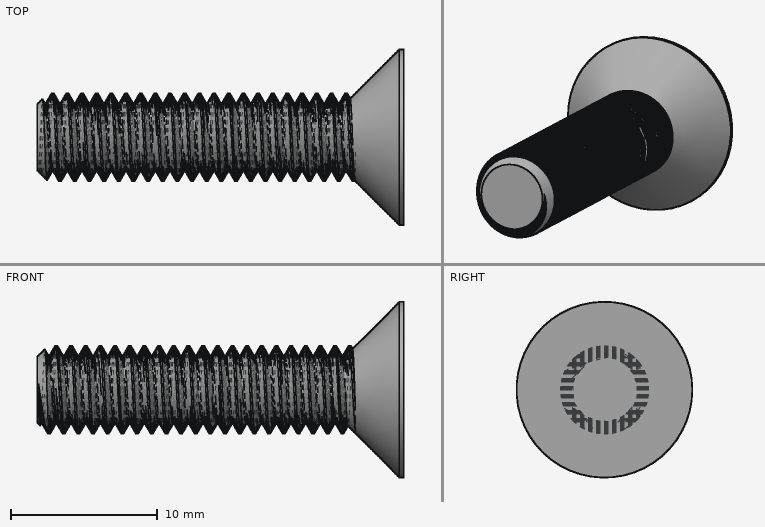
import cadquery as cq
import math

total_length = 25
head_diameter = 12
rim_thickness = 0.3
thread_diameter = 6
core_diameter = 4.7
tip_diameter = 4.5
pitch = 1
thread_phase = 0.062
flank_steps = 6

head_radius = head_diameter / 2
thread_radius = thread_diameter / 2
core_radius = core_diameter / 2
tip_radius = tip_diameter / 2
rim_start = total_length - rim_thickness

cone_start = rim_start - (head_radius - core_radius)

crest_width = pitch / 8
flank_width = (thread_radius - core_radius) * math.tan(math.radians(30))

crest_half_angle = math.pi * crest_width / pitch
flank_angle = 2 * math.pi * flank_width / pitch
crest_angle_at_tip = -2 * math.pi * thread_phase / pitch


def revolve_about_x(points):
    """Turn a closed (X, radius) outline around the screw axis."""
    return cq.Workplane("XY").polyline(points).close().revolve(360, (0, 0, 0), (1, 0, 0))


def polar_point(radius, angle_from_crest):
    """Point (Y, Z) of the thread section, with its angle taken from the crest centre."""
    angle = crest_angle_at_tip + angle_from_crest
    return (radius * math.cos(angle), radius * math.sin(angle))


def flank_point(fraction, side):
    """Point on a spiral flank, from the crest (0) to the root (1), on side +1 or -1."""
    radius = thread_radius + fraction * (core_radius - thread_radius)
    return polar_point(radius, side * (crest_half_angle + fraction * flank_angle))


def make_threaded_rod():
    """Right-handed threaded rod: its cross-section twisted one turn per pitch along X."""
    section = (
        cq.Workplane("YZ")
        .moveTo(*flank_point(0, -1))
        .threePointArc(polar_point(thread_radius, 0), flank_point(0, 1))
        .parametricCurve(lambda t: flank_point(t, 1), N=flank_steps, makeWire=False)
        .moveTo(*flank_point(1, 1))
        .threePointArc(polar_point(core_radius, math.pi), flank_point(1, -1))
        .parametricCurve(lambda t: flank_point(1 - t, -1), N=flank_steps, makeWire=False)
        .wire()
    )
    return section.twistExtrude(rim_start, 360 * rim_start / pitch)


def make_tip_envelope():
    """Solid around the rod that chamfers its tip at 45 degrees."""
    return revolve_about_x([
        (0, 0),
        (0, tip_radius),
        (head_radius - tip_radius, head_radius),
        (rim_start, head_radius),
        (rim_start, 0),
    ])


def make_head():
    """Countersunk head whose cone narrows down to the thread core."""
    return revolve_about_x([
        (cone_start, 0),
        (cone_start, core_radius),
        (rim_start, head_radius),
        (total_length, head_radius),
        (total_length, 0),
    ])


threaded_shank = make_threaded_rod().intersect(make_tip_envelope())
result = threaded_shank.union(make_head())